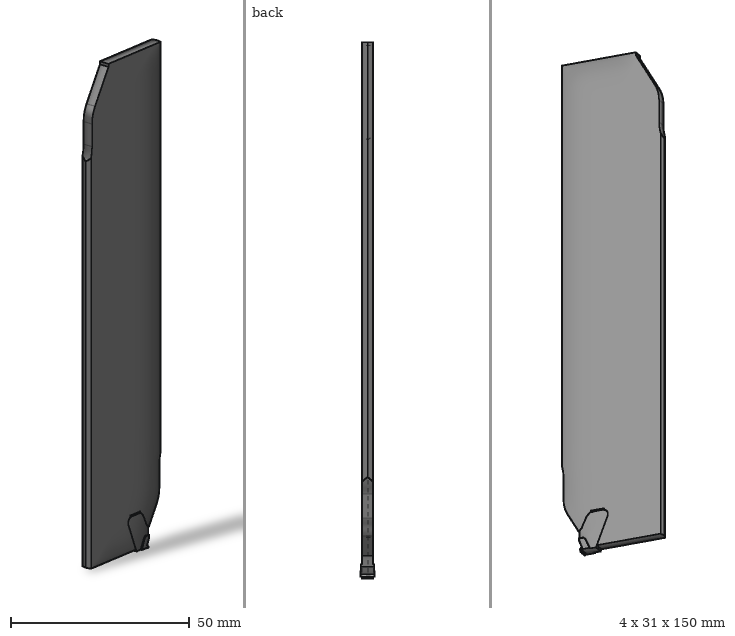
import cadquery as cq
import math

blade_thickness = 3.2
blade_width = 31.0
blade_bottom = 1.0
blade_top = 150.0
bevel_depth = 0.5
half_thickness = blade_thickness / 2
half_width = blade_width / 2
bevel_start = half_width - bevel_depth

corner_half_width = 7.5
end_land = 0.9
slope_angle = math.radians(30)
slope_end_depth = 11.0
neck_half_width = 14.62
neck_end_depth = 22.6
shoulder_end_depth = 27.3
slope_run = (slope_end_depth - end_land) * math.tan(slope_angle)
slope_end_half_width = corner_half_width + slope_run
slope_arc_radius = (neck_half_width - slope_end_half_width) / (1 - math.cos(slope_angle))
neck_depth = slope_end_depth + slope_arc_radius * math.sin(slope_angle)

insert_top = 11.5
insert_top_front = 6.3
insert_top_back = 2.2
seat_gap = 0.5
head_width = 4.0
nose_y = 9.8
nose_top = 6.3
nose_bottom = 3.3
throat_y = 8.8
throat_z = 1.2
tip_y = 9.5
tip_land = 0.5
heel_y = 4.6
front_edge = [(9.0, 7.2), (7.8, 9.9)]
front_corner_mid = (7.2, 10.8)
back_corner_mid = (1.4, 11.0)
back_edge_top = (1.0, 9.6)
head_top = 4.0
head_top_width = 3.8
head_back_edge = [(8.4, head_top), (7.8, 3.5), (6.5, tip_land)]


def extrude_across(sketch, width):
    """Extrude a YZ outline symmetrically about the X = 0 plane."""
    return sketch.extrude(width / 2, both=True)


def make_blank():
    """Full-length bar with a ridge along each long edge."""
    return (
        cq.Workplane("XY", origin=(0, 0, blade_bottom))
        .moveTo(0, half_width)
        .lineTo(half_thickness, bevel_start)
        .lineTo(half_thickness, -bevel_start)
        .lineTo(0, -half_width)
        .lineTo(-half_thickness, -bevel_start)
        .lineTo(-half_thickness, bevel_start)
        .close()
        .extrude(blade_top - blade_bottom)
    )


def make_corner_relief():
    """Waste removed from the upper -Y corner of the bar."""
    sketch = (
        cq.Workplane("YZ")
        .moveTo(-corner_half_width, blade_top)
        .lineTo(-corner_half_width, blade_top - end_land)
        .lineTo(-slope_end_half_width, blade_top - slope_end_depth)
        .tangentArcPoint((-neck_half_width, blade_top - neck_depth), relative=False)
        .lineTo(-neck_half_width, blade_top - neck_end_depth)
        .tangentArcPoint((-half_width, blade_top - shoulder_end_depth), relative=False)
        .lineTo(-half_width, blade_top)
        .close()
    )
    return extrude_across(sketch, blade_thickness)


def make_insert_body():
    """Cutting insert with a wedge-shaped shank and a hooked tip."""
    sketch = (
        cq.Workplane("YZ")
        .moveTo(tip_y, 0)
        .lineTo(tip_y, tip_land)
        .lineTo(throat_y, throat_z)
        .lineTo(nose_y, nose_bottom)
        .lineTo(nose_y, nose_top)
        .lineTo(*front_edge[0])
        .lineTo(*front_edge[1])
        .threePointArc(front_corner_mid, (insert_top_front, insert_top))
        .lineTo(insert_top_back, insert_top)
        .threePointArc(back_corner_mid, back_edge_top)
        .lineTo(heel_y, tip_land)
        .lineTo(tip_y - tip_land, tip_land)
        .close()
    )
    return extrude_across(sketch, blade_thickness)


def make_cutting_head():
    """Wide portion of the insert around its tip, narrowing upward."""
    side_outline = (
        cq.Workplane("YZ")
        .polyline([
            (tip_y, tip_land),
            (throat_y, throat_z),
            (nose_y, nose_bottom),
            (nose_y, head_top),
            *head_back_edge,
        ])
        .close()
    )
    taper = (
        cq.Workplane("XZ")
        .polyline([
            (-head_width / 2, tip_land),
            (head_width / 2, tip_land),
            (head_top_width / 2, head_top),
            (-head_top_width / 2, head_top),
        ])
        .close()
        .extrude(-half_width)
    )
    return extrude_across(side_outline, head_width).intersect(taper)


def make_seat_gap():
    """Narrow slot left between the insert's top and its seat."""
    return cq.Workplane("XY").box(
        blade_thickness, insert_top_front - insert_top_back, seat_gap, centered=(True, False, False)
    ).translate((0, insert_top_back, insert_top))


def make_seat_mouth():
    """Clearance in the blade in front of and below the insert."""
    sketch = (
        cq.Workplane("YZ")
        .moveTo(nose_y, nose_top)
        .lineTo(half_width, nose_top)
        .lineTo(half_width, 0)
        .lineTo(heel_y, 0)
        .lineTo(heel_y, tip_land)
        .close()
    )
    return extrude_across(sketch, blade_thickness)


def make_blade(insert):
    """Bar with both corners relieved and a seat matching the insert."""
    relief = make_corner_relief()
    centre = (0, 0, (blade_bottom + blade_top) / 2)
    opposite_relief = relief.rotate(centre, (1, 0, centre[2]), 180)
    return (
        make_blank()
        .cut(relief)
        .cut(opposite_relief)
        .cut(make_seat_mouth())
        .cut(make_seat_gap())
        .cut(insert)
    )


insert = make_insert_body().union(make_cutting_head())
blade = make_blade(insert)

result = cq.Compound.makeCompound([blade.val(), insert.val()])